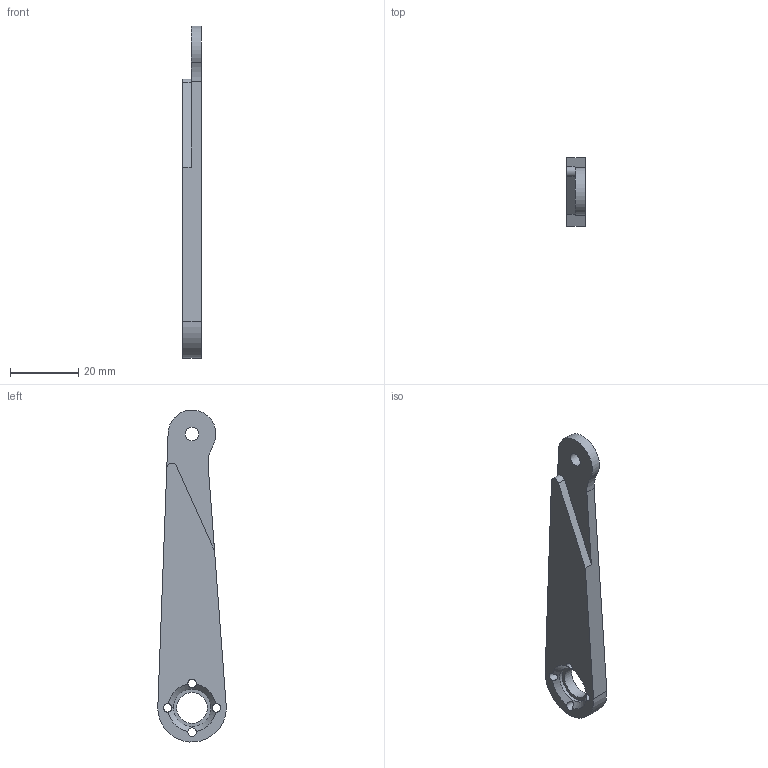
import cadquery as cq
import math

thickness = 5.5
tip_thickness = 3.0
hub_radius = 10.0
tip_radius = 7.0
tip_height = 80.0
neck_offset = 4.0
neck_fillet_radius = 10.0

tip_hole_diameter = 4.0
bore_diameter = 9.0
seat_diameter = 11.0
countersink_diameter = 14.0
seat_depth = 2.5
pin_hole_diameter = 2.5
pin_circle_radius = 7.1
pin_count = 4

ramp_low_z = 45.8
ramp_angle = 24.1
ramp_nose_radius = 1.5

countersink_depth = (countersink_diameter - seat_diameter) / 2

step_depth = thickness - tip_thickness

plus_y_lean = math.asin((hub_radius - tip_radius) / tip_height)
minus_y_lean = math.asin((hub_radius - neck_offset) / tip_height)


def polar(radius, angle, center=(0.0, 0.0)):
    """Point (Y, Z) at an angle measured from +Y toward +Z."""
    return (center[0] + radius * math.cos(angle), center[1] + radius * math.sin(angle))


def edge_y(lean, z):
    """Distance from the Z axis to a straight edge tangent to the hub."""
    return hub_radius / math.cos(lean) - z * math.tan(lean)


def arm_plate():
    """Hub and tip joined by tangent edges, with a concave neck on the -Y side."""
    tip_center = (0.0, tip_height)
    minus_y_normal = math.pi - minus_y_lean
    neck_swing = math.acos((neck_offset + neck_fillet_radius) / (tip_radius + neck_fillet_radius))
    neck_direction = minus_y_normal + neck_swing
    neck_center = polar(tip_radius + neck_fillet_radius, neck_direction, tip_center)
    neck_on_tip = polar(tip_radius, neck_direction, tip_center)
    neck_on_edge = polar(-neck_fillet_radius, minus_y_normal, neck_center)
    neck_middle = polar(-neck_fillet_radius, minus_y_normal + neck_swing / 2, neck_center)

    outline = (
        cq.Workplane("YZ")
        .moveTo(*polar(hub_radius, plus_y_lean))
        .lineTo(*polar(tip_radius, plus_y_lean, tip_center))
        .threePointArc((0.0, tip_height + tip_radius), neck_on_tip)
        .threePointArc(neck_middle, neck_on_edge)
        .lineTo(*polar(hub_radius, minus_y_normal))
        .threePointArc((0.0, -hub_radius), polar(hub_radius, plus_y_lean))
        .close()
    )
    return outline.extrude(thickness)


def full_thickness_region():
    """Area below the slanted step, its nose rounded into the +Y edge."""
    low_y = -edge_y(minus_y_lean, ramp_low_z)
    ramp_slope = 1 / math.tan(math.radians(ramp_angle))
    nose_rise = ramp_slope * (edge_y(plus_y_lean, 0) - low_y)
    nose_z = (ramp_low_z + nose_rise) / (1 + ramp_slope * math.tan(plus_y_lean))
    nose_y = edge_y(plus_y_lean, nose_z)
    outline = (
        cq.Workplane("YZ")
        .moveTo(low_y, ramp_low_z)
        .lineTo(nose_y, nose_z)
        .lineTo(edge_y(plus_y_lean, -hub_radius), -hub_radius)
        .lineTo(-edge_y(minus_y_lean, -hub_radius), -hub_radius)
        .close()
    )
    return outline.extrude(step_depth).edges("|X").edges(">Z").fillet(ramp_nose_radius)


def step_cut():
    """Material removed above the slanted step to thin the tip."""
    block_height = hub_radius + tip_height + tip_radius
    block_width = 4 * hub_radius
    block = (
        cq.Workplane("YZ")
        .center(0, block_height / 2 - hub_radius)
        .rect(block_width, block_height)
        .extrude(step_depth)
    )
    return block.cut(full_thickness_region())


def hub_bore():
    """Through bore with a cylindrical seat and a conical mouth, turned about X."""
    bore_radius = bore_diameter / 2
    seat_radius = seat_diameter / 2
    return (
        cq.Workplane("XY")
        .lineTo(0, countersink_diameter / 2)
        .lineTo(countersink_depth, seat_radius)
        .lineTo(seat_depth, seat_radius)
        .lineTo(seat_depth, bore_radius)
        .lineTo(thickness, bore_radius)
        .lineTo(thickness, 0)
        .close()
        .revolve(360, (0, 0, 0), (1, 0, 0))
    )


def pin_holes():
    return (
        cq.Workplane("YZ")
        .polarArray(pin_circle_radius, 0, 360, pin_count)
        .circle(pin_hole_diameter / 2)
        .extrude(thickness)
    )


def tip_hole():
    return cq.Workplane("YZ").center(0, tip_height).circle(tip_hole_diameter / 2).extrude(thickness)


result = arm_plate().cut(step_cut()).cut(hub_bore()).cut(pin_holes()).cut(tip_hole())